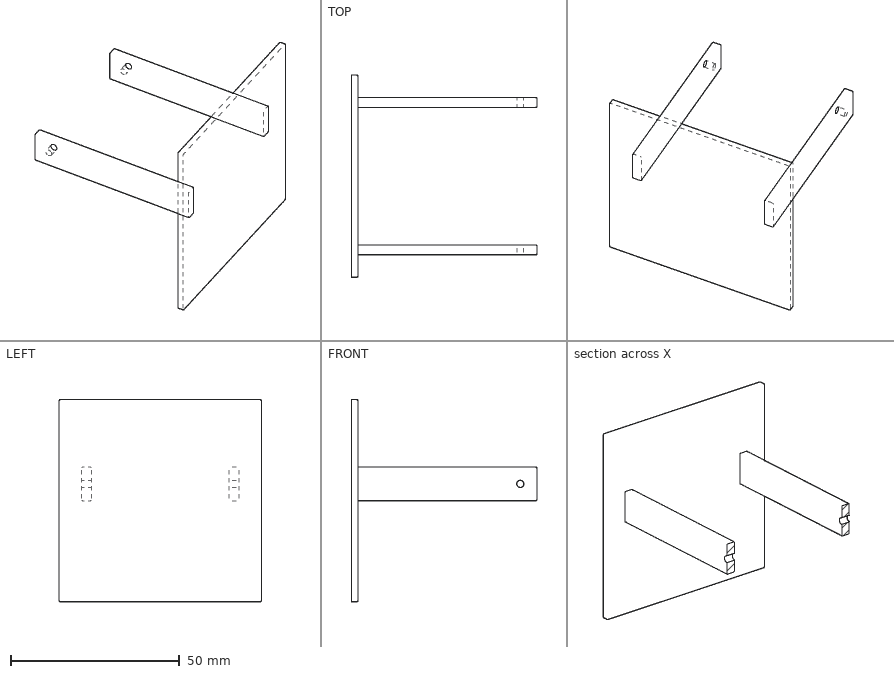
import cadquery as cq

plate_side = 60.0
plate_thickness = 2.0

overall_length = 55.0
arm_width = 3.0
arm_height = 10.0
arm_inset = 6.65
arm_center_z = 5.0

hole_diameter = 2.05
hole_end_distance = 5.0

edge_radius = 0.5

arm_center_y = plate_side / 2 - arm_inset - arm_width / 2


def make_plate():
    """Plate with rounded corners and a rounded rim on the arm side."""
    plate = cq.Workplane("YZ").rect(plate_side, plate_side).extrude(plate_thickness)
    return plate.edges("|X or >X").fillet(edge_radius)


def make_arm(center_y):
    """Arm with rounded long edges and free end, starting inside the plate."""
    root_x = plate_thickness / 2
    arm = (
        cq.Workplane("YZ", origin=(root_x, center_y, arm_center_z))
        .rect(arm_width, arm_height)
        .extrude(overall_length - root_x)
    )
    return arm.edges("|X or >X").fillet(edge_radius)


def make_hole_cutter():
    """Cylinder along Y that passes through both arms."""
    return (
        cq.Workplane("XZ")
        .center(overall_length - hole_end_distance, arm_center_z)
        .circle(hole_diameter / 2)
        .extrude(plate_side / 2, both=True)
    )


result = make_plate()
for side in (-1, 1):
    result = result.union(make_arm(side * arm_center_y))
result = result.cut(make_hole_cutter())